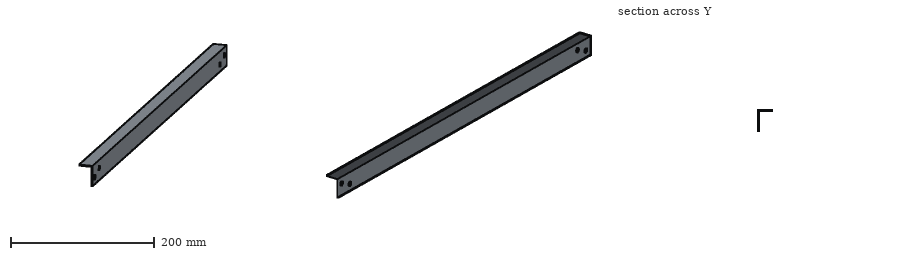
import cadquery as cq

length = 600.0
flange_width = 20.0
web_height = 30.0
thickness = 2.0

hole_diameter = 6.5
outer_hole_inset = 10.0
inner_hole_inset = 30.0
upper_hole_drop = 12.0
lower_hole_drop = 20.0

half_length = length / 2

hole_centres = [
    (half_length - outer_hole_inset, -upper_hole_drop),
    (half_length - inner_hole_inset, -lower_hole_drop),
    (inner_hole_inset - half_length, -upper_hole_drop),
    (outer_hole_inset - half_length, -lower_hole_drop),
]


def angle_bar():
    """Horizontal flange with a vertical web hanging from its +X edge."""
    flange = cq.Workplane("XY").box(flange_width, length, thickness, centered=(False, True, False))
    web = cq.Workplane("XY").box(thickness, length, web_height, centered=(False, True, False))
    flange = flange.translate((0, 0, -thickness))
    web = web.translate((flange_width - thickness, 0, -web_height))
    return flange.union(web)


def web_holes():
    """Cylinders that cross the web along X."""
    return (
        cq.Workplane("YZ", origin=(flange_width - thickness, 0, 0))
        .pushPoints(hole_centres)
        .circle(hole_diameter / 2)
        .extrude(thickness)
    )


result = angle_bar().cut(web_holes())